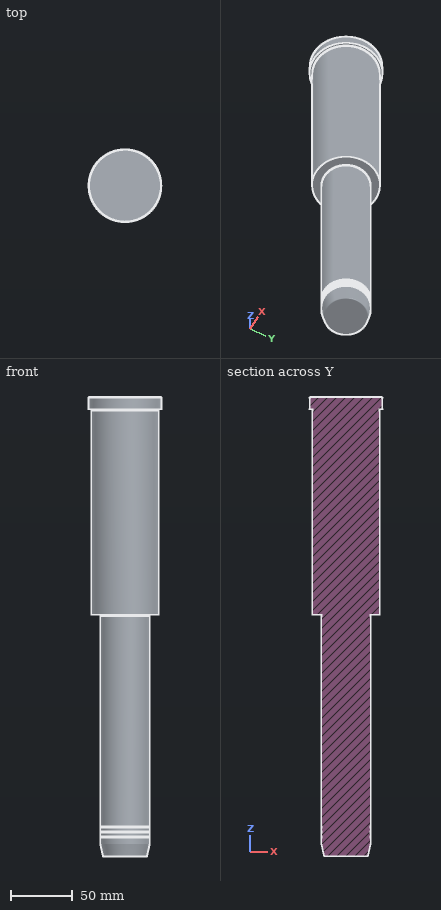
import cadquery as cq

total_length = 371.0
head_height = 10.0
sleeve_bottom = 195.0

head_diameter = 59.0
sleeve_diameter = 55.0
pin_diameter = 40.0
tip_diameter = 35.5

head_chamfer = 0.55
neck_height = 1.0
neck_depth = 0.5

tip_height = 10.0
tip_edge_radius = 0.7
groove_width = 1.0
groove_depth = 0.5
groove_count = 3
groove_pitch = 4.0
lowest_groove_bottom = 15.2


def cylinder(diameter, bottom, top):
    """Solid cylinder on the Z axis between two heights."""
    return cq.Workplane("XY").workplane(offset=bottom).circle(diameter / 2).extrude(top - bottom)


def ring(diameter, depth, bottom, height):
    """Ring that cuts a groove of the given depth into a cylinder."""
    outer = cylinder(diameter + 2 * depth, bottom, bottom + height)
    return outer.cut(cylinder(diameter - 2 * depth, bottom, bottom + height))


head_bottom = total_length - head_height
head = cylinder(head_diameter, head_bottom, total_length).faces(">Z").edges().chamfer(head_chamfer)

sleeve = cylinder(sleeve_diameter, sleeve_bottom, head_bottom)
sleeve = sleeve.cut(ring(sleeve_diameter, neck_depth, head_bottom - neck_height, neck_height))

pin = cylinder(pin_diameter, tip_height, sleeve_bottom)
pin = pin.cut(ring(pin_diameter, neck_depth, sleeve_bottom - neck_height, neck_height))
for index in range(groove_count):
    groove_bottom = lowest_groove_bottom + index * groove_pitch
    pin = pin.cut(ring(pin_diameter, groove_depth, groove_bottom, groove_width))

tip = (
    cq.Workplane("XY")
    .circle(tip_diameter / 2)
    .workplane(offset=tip_height)
    .circle(pin_diameter / 2)
    .loft(ruled=True)
    .faces("<Z")
    .edges()
    .fillet(tip_edge_radius)
)

result = head.union(sleeve).union(pin).union(tip)